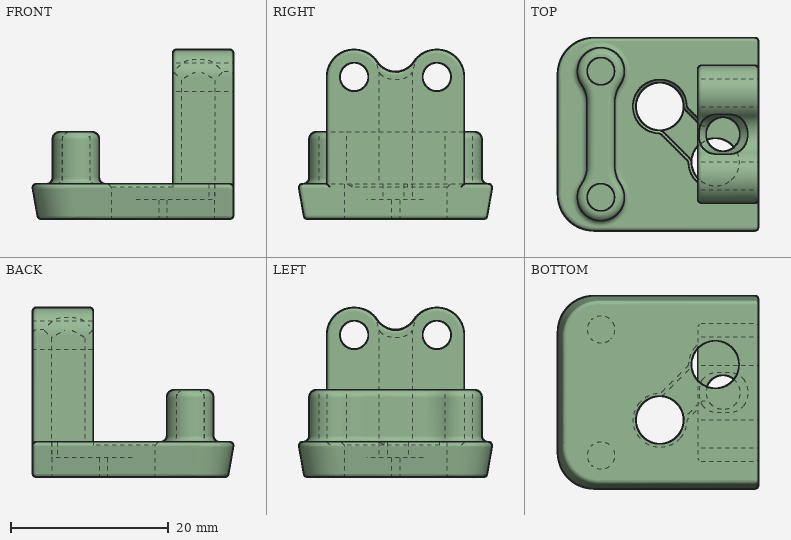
import cadquery as cq
import math

length = 25.52
width = 24.55
height = 21.55
edge_radius = 0.5

pick_margin = 0.03

plate_height = 4.5
draft_angle = math.radians(10)
corner_radius = 4.75

bar_x = 5.5
bar_height = 6.6
post_radius = 2.99
post_spacing = 16.0
post_bore_radius = 1.74
neck_half_width = 1.75
neck_radius = 4.0
bar_top_radius = 1.0
bar_foot_radius = 0.75

upright_thickness = 7.73
lobe_radius = 3.5
lobe_spacing = 10.5
lobe_bore_radius = 1.79
lobe_z = height - lobe_radius
upright_front_x = length - upright_thickness
saddle_radius = math.hypot(lobe_spacing / 2, lobe_radius) - lobe_radius
saddle_bore_x = 21.0
saddle_bore_radius = 2.15
saddle_chamfer = 1.0
shared_face_tolerance = 0.0001

key_radius = 3.0
key_x = 13.0
key_y = 3.52
key_offset = 2 * key_y
key_chamfer = 0.4
slot_angle = -45
slot_half_width = 1.97
slot_corner_radius = 1.0
slot_depth = 2.0
slot_floor_z = plate_height - slot_depth


def make_plate():
    """Plate whose front and side faces lean inward toward the underside; the back face is vertical."""
    overhang = edge_radius * ((1 + math.sin(draft_angle)) / math.cos(draft_angle) - 1)
    inset = plate_height * math.tan(draft_angle)

    top_length = length + overhang
    top_width = width + 2 * overhang
    bottom_length = top_length - inset
    bottom_width = top_width - 2 * inset
    plate = (
        cq.Workplane("XY")
        .center(length - bottom_length / 2, 0)
        .rect(bottom_length, bottom_width)
        .workplane(offset=plate_height)
        .center((bottom_length - top_length) / 2, 0)
        .rect(top_length, top_width)
        .loft(ruled=True)
    )
    plate = plate.edges("(not #Z) and (not |Y) and (not >X)").fillet(corner_radius)
    return plate.edges("<Z or >Z or >X").fillet(edge_radius)


def make_bar():
    """Two round posts joined by a narrower neck with tangent hollow flanks."""
    post_y = post_spacing / 2
    hollow_x = neck_half_width + neck_radius
    hollow_y = post_y - math.sqrt((post_radius + neck_radius) ** 2 - hollow_x**2)
    blend = post_radius / (post_radius + neck_radius)
    tangent_x = hollow_x * blend
    tangent_y = post_y - (post_y - hollow_y) * blend
    mid_angle = math.atan2(post_y - hollow_y, hollow_x) / 2
    mid_x = hollow_x - neck_radius * math.cos(mid_angle)
    mid_y = hollow_y + neck_radius * math.sin(mid_angle)
    tip_y = post_y + post_radius

    outline = (
        cq.Workplane("XY", origin=(bar_x, 0, plate_height))
        .moveTo(neck_half_width, -hollow_y)
        .lineTo(neck_half_width, hollow_y)
        .threePointArc((mid_x, mid_y), (tangent_x, tangent_y))
        .threePointArc((0, tip_y), (-tangent_x, tangent_y))
        .threePointArc((-mid_x, mid_y), (-neck_half_width, hollow_y))
        .lineTo(-neck_half_width, -hollow_y)
        .threePointArc((-mid_x, -mid_y), (-tangent_x, -tangent_y))
        .threePointArc((0, -tip_y), (tangent_x, -tangent_y))
        .threePointArc((mid_x, -mid_y), (neck_half_width, -hollow_y))
        .close()
    )
    return outline.extrude(bar_height).faces(">Z").edges().fillet(bar_top_radius)


def round_bar_foot(body):
    """Blend the foot of the bar into the plate."""
    reach = post_radius + pick_margin
    foot = cq.selectors.BoxSelector(
        (bar_x - reach, -width / 2, plate_height - pick_margin),
        (bar_x + reach, width / 2, plate_height + pick_margin),
        boundingbox=True,
    )
    return body.edges(foot).fillet(bar_foot_radius)


def make_upright():
    """Block reaching down to the slot floor, with a wavy top of two lobes and a saddle."""
    lobe_y = lobe_spacing / 2
    half_width = lobe_y + lobe_radius
    blend = lobe_radius / (lobe_radius + saddle_radius)
    tangent_y = lobe_y * (1 - blend)
    tangent_z = lobe_z + (height - lobe_z) * blend

    upright = (
        cq.Workplane("YZ", origin=(upright_front_x, 0, 0))
        .moveTo(-half_width, slot_floor_z)
        .lineTo(-half_width, lobe_z)
        .threePointArc((-lobe_y, height), (-tangent_y, tangent_z))
        .threePointArc((0, height - saddle_radius), (tangent_y, tangent_z))
        .threePointArc((lobe_y, height), (half_width, lobe_z))
        .lineTo(half_width, slot_floor_z)
        .close()
        .extrude(upright_thickness)
    )
    upright = upright.faces("<X or >X").edges("not <Z").fillet(edge_radius)
    bores = (
        cq.Workplane("YZ", origin=(upright_front_x, 0, 0))
        .pushPoints([(-lobe_y, lobe_z), (lobe_y, lobe_z)])
        .circle(lobe_bore_radius)
        .extrude(upright_thickness)
    )
    return upright.cut(bores)


def make_saddle_bore():
    """Cutter for the vertical bore, with a chamfer that follows the curved saddle."""
    block = (
        cq.Workplane("XY", origin=(saddle_bore_x, 0, slot_floor_z))
        .rect(2 * upright_thickness, lobe_spacing)
        .extrude(height - slot_floor_z)
    )
    groove = (
        cq.Workplane("YZ", origin=(saddle_bore_x - upright_thickness, 0, 0))
        .center(0, height)
        .circle(saddle_radius)
        .extrude(2 * upright_thickness)
    )
    block = block.cut(groove)
    bore = (
        cq.Workplane("XY", origin=(saddle_bore_x, 0, slot_floor_z))
        .circle(saddle_bore_radius)
        .extrude(height - slot_floor_z)
    )
    reach = saddle_bore_radius + pick_margin
    rim = cq.selectors.BoxSelector(
        (saddle_bore_x - reach, -reach, lobe_z),
        (saddle_bore_x + reach, reach, height),
        boundingbox=True,
    )
    bored_block = block.cut(bore).edges(rim).chamfer(saddle_chamfer)
    return block.cut(bored_block)


def make_key_bores(bottom_z):
    """Two round bores from bottom_z up to the plate top."""
    return (
        cq.Workplane("XY", origin=(0, 0, bottom_z))
        .pushPoints([(key_x, key_y), (key_x + key_offset, -key_y)])
        .circle(key_radius)
        .extrude(plate_height - bottom_z)
    )


def slot_point(along, across):
    """Point given by its distances from the slot middle, along and across the diagonal slot."""
    x = key_x + key_offset / 2 + (along + across) / math.sqrt(2)
    y = (across - along) / math.sqrt(2)
    return (x, y, plate_height - slot_depth / 2)


def round_corner(pocket, along, across):
    """Round the upright corner edge of the pocket that stands at the given place on the slot wall."""
    corner = cq.selectors.NearestToPointSelector(slot_point(along, across))
    return pocket.edges(corner).fillet(slot_corner_radius)


def make_key_pocket():
    """Dumbbell from the slot floor to the plate top, with rounded corners where slot and bores meet."""
    half_length = key_offset / math.sqrt(2)
    pocket = (
        cq.Workplane("XY", origin=(key_x + key_offset / 2, 0, slot_floor_z))
        .transformed(rotate=(0, 0, slot_angle))
        .rect(2 * half_length, 2 * slot_half_width)
        .extrude(slot_depth)
        .union(make_key_bores(slot_floor_z))
    )
    corner_along = half_length - math.sqrt(key_radius**2 - slot_half_width**2)
    for end in (-1, 1):
        for side in (-1, 1):
            pocket = round_corner(pocket, end * corner_along, side * slot_half_width)
    return pocket


def make_lower_pocket():
    """Key pocket joined with the lower end of the vertical bore, which breaks into the slot wall."""
    lower_bore = (
        cq.Workplane("XY", origin=(saddle_bore_x, 0, slot_floor_z))
        .circle(saddle_bore_radius)
        .extrude(slot_depth)
    )
    bore_place = (saddle_bore_x - key_x - key_offset / 2) / math.sqrt(2)
    half_chord = math.sqrt(saddle_bore_radius**2 - (bore_place - slot_half_width) ** 2)
    pocket = make_key_pocket().union(lower_bore)
    return round_corner(pocket, bore_place - half_chord, slot_half_width)


def cut_key_recess(plate):
    """Cut the bores and the pocket, then chamfer their common rim on the plate top."""
    plate = plate.cut(make_key_bores(0)).cut(make_key_pocket())
    reach = key_radius + pick_margin
    rim = cq.selectors.BoxSelector(
        (key_x - reach, -key_y - reach, plate_height - pick_margin),
        (key_x + key_offset + reach, key_y + reach, plate_height + pick_margin),
        boundingbox=True,
    )
    return plate.edges(rim).chamfer(key_chamfer)


def make_post_bores():
    """Blind bores in the posts, down to the plate top."""
    return (
        cq.Workplane("XY", origin=(bar_x, 0, plate_height))
        .pushPoints([(0, -post_spacing / 2), (0, post_spacing / 2)])
        .circle(post_bore_radius)
        .extrude(bar_height)
    )


base = round_bar_foot(make_plate().union(make_bar()))
base = cut_key_recess(base.cut(make_post_bores()))

upright = make_upright().cut(make_saddle_bore(), tol=shared_face_tolerance)

result = base.union(upright).cut(make_key_bores(0)).cut(make_lower_pocket())